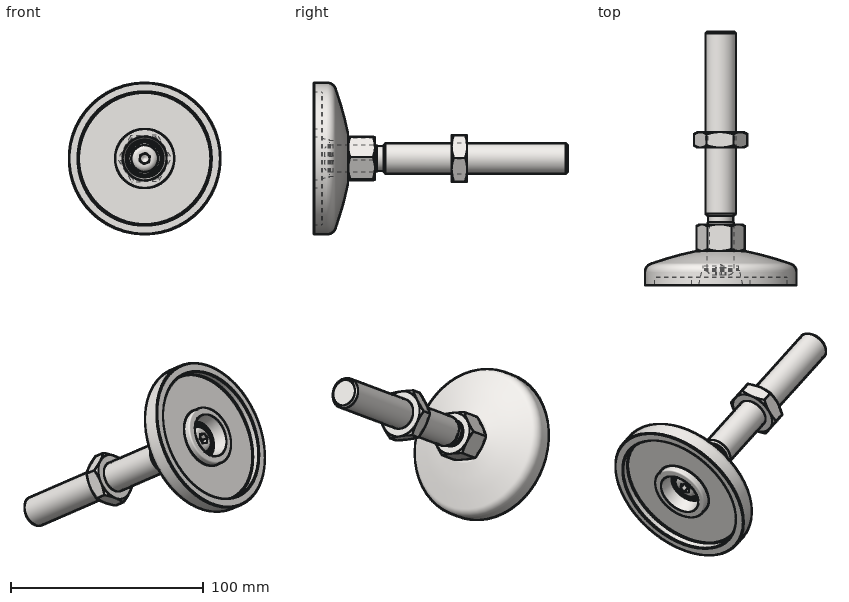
import cadquery as cq
import math

total_length = 132.0

plate_diameter = 79.0
plate_edge_chamfer = 0.4
plate_wall_height = 7.0
plate_shoulder_height = 11.5
plate_shoulder_radius = 36.0
plate_shoulder_fillet = 4.8
plate_height = 18.0
plate_top_radius = 12.8
dome_bulge = 0.4
recess_diameter = 69.0
recess_depth = 4.5
recess_chamfer = 0.4
boss_diameter = 30.6
boss_bottom = 0.4
boss_fillet = 0.8
boss_foot_flare = 0.1
bore_mouth_diameter = 22.8
bore_end_diameter = 19.5
bore_depth = 7.9
bore_chamfer = 0.5

stem_diameter = 16.0
stem_tip_chamfer = 1.2
neck_diameter = 13.2
neck_bottom = 33.0
neck_top = 36.2
thread_start = 37.4
stub_diameter = 14.0
stub_bottom = 5.5
stub_flat_diameter = 8.0
socket_across_flats = 5.0
socket_depth = 4.0
socket_angle = 22.0
drill_point_depth = 1.5

sleeve_across_flats = 21.9
sleeve_height = 13.9
sleeve_angle = 3.3

nut_across_flats = 24.0
nut_bottom = 71.7
nut_height = 8.0
nut_angle = 1.5

hex_chamfer_angle = 30.0

ring_inner_cone_start = 7.4
ring_step_diameter = 16.6
ring_step = 0.3
ring_cone_rise = 0.5
ring_diameter = 18.5
ring_rim_height = 1.3


def revolve_about_y(profile):
    return profile.close().revolve(360, (0, 0, 0), (0, 1, 0))


def half_section(radius, height):
    return cq.Workplane("XY").moveTo(radius, height)


def hex_prism(across_flats, bottom, height, angle):
    """Hexagonal prism along +Y; the angle turns a corner from +X toward +Z."""
    corner_diameter = across_flats / math.cos(math.radians(30))
    prism = cq.Workplane("XZ").polygon(6, corner_diameter).extrude(-height)
    return prism.rotate((0, 0, 0), (0, 1, 0), -angle).translate((0, bottom, 0))


def chamfered_hex(across_flats, bottom, height, angle, hole_diameter):
    """Hexagon with a round hole and corners turned down to a cone at both ends."""
    face_radius = across_flats / 2
    corner_radius = face_radius / math.cos(math.radians(30))
    drop = (corner_radius - face_radius) * math.tan(math.radians(hex_chamfer_angle))
    top = bottom + height
    envelope = revolve_about_y(
        half_section(hole_diameter / 2, bottom)
        .lineTo(face_radius, bottom)
        .lineTo(corner_radius, bottom + drop)
        .lineTo(corner_radius, top - drop)
        .lineTo(face_radius, top)
        .lineTo(hole_diameter / 2, top)
    )
    return hex_prism(across_flats, bottom, height, angle).intersect(envelope)


def bulged_midpoint(start, end, bulge):
    """Middle of an arc that rises by the bulge above the chord, away from the axis."""
    run = end[0] - start[0]
    fall = end[1] - start[1]
    chord = math.hypot(run, fall)
    middle_radius = (start[0] + end[0]) / 2 - bulge * fall / chord
    middle_height = (start[1] + end[1]) / 2 + bulge * run / chord
    return (middle_radius, middle_height)


def make_plate():
    rim = plate_diameter / 2
    recess = recess_diameter / 2
    boss = boss_diameter / 2
    top_edge = (plate_top_radius, plate_height)
    shoulder = (plate_shoulder_radius, plate_shoulder_height)
    wall_top = (rim, plate_wall_height)
    ring_seat = bore_depth + bore_chamfer
    return revolve_about_y(
        half_section(stub_diameter / 2, plate_height)
        .lineTo(*top_edge)
        .threePointArc(bulged_midpoint(top_edge, shoulder, dome_bulge), shoulder)
        .radiusArc(wall_top, plate_shoulder_fillet)
        .lineTo(rim, plate_edge_chamfer)
        .lineTo(rim - plate_edge_chamfer, 0)
        .lineTo(recess + recess_chamfer, 0)
        .lineTo(recess, recess_chamfer)
        .lineTo(recess, recess_depth - recess_chamfer)
        .lineTo(recess - recess_chamfer, recess_depth)
        .lineTo(boss + boss_foot_flare, recess_depth)
        .lineTo(boss, recess_depth - boss_foot_flare)
        .lineTo(boss, boss_bottom + boss_fillet)
        .radiusArc((boss - boss_fillet, boss_bottom), boss_fillet)
        .lineTo(bore_mouth_diameter / 2, boss_bottom)
        .lineTo(bore_end_diameter / 2, bore_depth)
        .lineTo(ring_diameter / 2, ring_seat)
        .lineTo(ring_diameter / 2, ring_top)
        .lineTo(stub_diameter / 2, ring_top)
    )


step_radius = ring_step_diameter / 2
step_height = ring_inner_cone_start + ring_cone_rise * (step_radius - stub_diameter / 2)
ring_edge_height = step_height + ring_step + ring_cone_rise * (ring_diameter / 2 - step_radius)
ring_top = ring_edge_height + ring_rim_height


def make_ring():
    return revolve_about_y(
        half_section(stub_diameter / 2, ring_inner_cone_start)
        .lineTo(step_radius, step_height)
        .lineTo(step_radius, step_height + ring_step)
        .lineTo(ring_diameter / 2, ring_edge_height)
        .lineTo(ring_diameter / 2, ring_top)
        .lineTo(stub_diameter / 2, ring_top)
    )


def make_stem():
    stub = stub_diameter / 2
    neck = neck_diameter / 2
    thread = stem_diameter / 2
    end_fillet = (stub_diameter - stub_flat_diameter) / 2
    sleeve_top = plate_height + sleeve_height
    body = revolve_about_y(
        half_section(0, stub_bottom)
        .lineTo(stub_flat_diameter / 2, stub_bottom)
        .radiusArc((stub, stub_bottom + end_fillet), -end_fillet)
        .lineTo(stub, sleeve_top)
        .lineTo(neck, neck_bottom)
        .lineTo(neck, neck_top)
        .lineTo(thread, thread_start)
        .lineTo(thread, total_length - stem_tip_chamfer)
        .lineTo(thread - stem_tip_chamfer, total_length)
        .lineTo(0, total_length)
    )
    return body.cut(make_socket())


def make_socket():
    """Hexagonal key socket with a drill point at its floor."""
    floor = stub_bottom + socket_depth
    drill_point = revolve_about_y(
        half_section(0, floor)
        .lineTo(socket_across_flats / 2, floor)
        .lineTo(0, floor + drill_point_depth)
    )
    return hex_prism(socket_across_flats, stub_bottom, socket_depth, socket_angle).union(drill_point)


plate = make_plate()
ring = make_ring()
stem = make_stem()
sleeve = chamfered_hex(sleeve_across_flats, plate_height, sleeve_height, sleeve_angle, stub_diameter)
nut = chamfered_hex(nut_across_flats, nut_bottom, nut_height, nut_angle, stem_diameter)

result = cq.Compound.makeCompound([plate.val(), ring.val(), stem.val(), sleeve.val(), nut.val()])